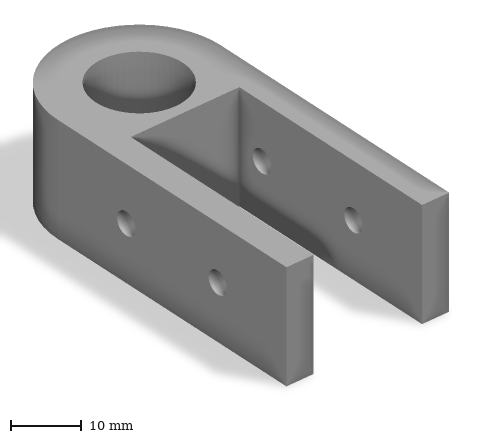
import cadquery as cq

length = 65.0
width = 30.0
height = 20.0
bore_diameter = 16.0
arm_thickness = 5.0
slot_length = 40.0
pin_hole_diameter = 4.0
pin_hole_spacing = 20.0
pin_hole_end_distance = 15.0

nose_radius = width / 2
open_end_x = length - nose_radius
slot_width = width - 2 * arm_thickness
outer_pin_x = open_end_x - pin_hole_end_distance
inner_pin_x = outer_pin_x - pin_hole_spacing


def fork_body():
    """Block with a full-round nose concentric with the bore."""
    return (
        cq.Workplane("XY")
        .moveTo(0, -nose_radius)
        .lineTo(open_end_x, -nose_radius)
        .lineTo(open_end_x, nose_radius)
        .lineTo(0, nose_radius)
        .threePointArc((-nose_radius, 0), (0, -nose_radius))
        .close()
        .extrude(height)
    )


def bore():
    return cq.Workplane("XY").circle(bore_diameter / 2).extrude(height)


def arm_slot():
    """Full-height opening between the two arms."""
    return (
        cq.Workplane("XY")
        .center(open_end_x - slot_length / 2, 0)
        .rect(slot_length, slot_width)
        .extrude(height)
    )


def pin_holes():
    """Cross holes through both arms at mid height."""
    return (
        cq.Workplane("XZ")
        .pushPoints([(x, height / 2) for x in (inner_pin_x, outer_pin_x)])
        .circle(pin_hole_diameter / 2)
        .extrude(width / 2, both=True)
    )


result = fork_body().cut(bore()).cut(arm_slot()).cut(pin_holes())